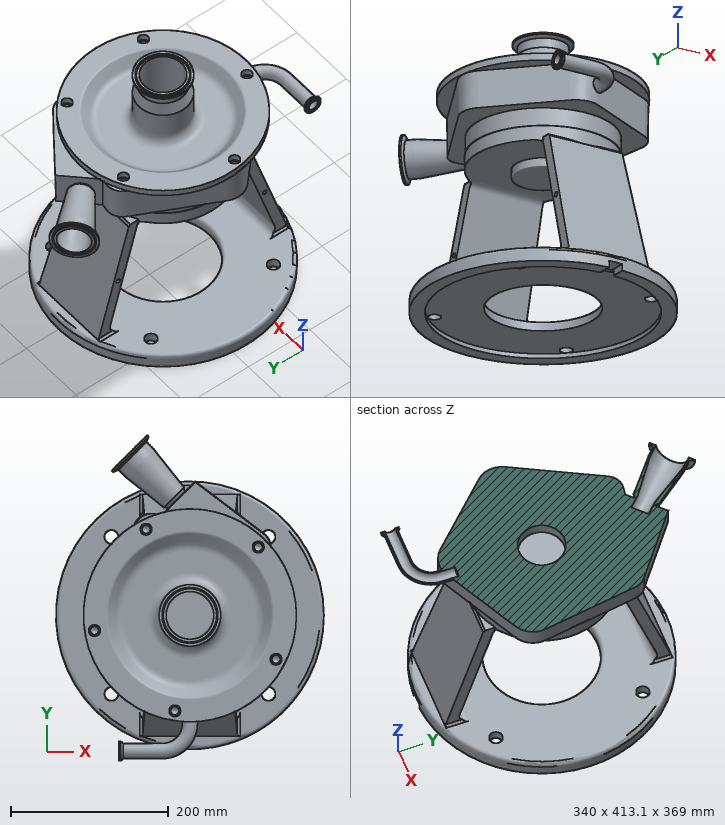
import cadquery as cq
import math

base_top = 20.0
shaft_bottom = 184.5
frame_bottom = 196.0
step_level = 215.5
volute_bottom = 240.0
cover_bottom = 290.5
cover_top = 300.0
pipe_top = 369.0

base_radius = 170.0
base_opening_radius = 75.0
base_rounding = 5.0
base_bolt_radius = 8.6
base_bolt_offset = 99.5
notch_width = 19.5
notch_height = 9.0
notch_depth = 25.0
base_recess_radius = 150.0
base_recess_depth = 6.2

leg_thickness = 15.0
leg_foot_y = 153.5
leg_head_y = 100.0
leg_foot_half_width = 60.0
leg_head_half_width = 55.0
leg_fillet = 10.7
leg_head_bevel = 2.7
weld_height = 2.5
weld_width = 3.5
head_weld_width = 9.0
leg_hole_diameter = 6.0
leg_hole_depth = 15.0
leg_hole_z = 107.5

frame_lower_radius = 99.7
frame_upper_radius = 99.0
shaft_radius = 40.2
shaft_rounding = 1.0

draft_angle = 1.0
corner_distance = 101.5
corner_radius = 33.0
corner_angles = (-171.0, -99.0, -27.0)
lug_distance = 116.5
lug_radius = 23.5
lug_angles = (47.0, 115.0)
outlet_block_tip = (6.7, 169.8)
outlet_face_length = 85.0

cover_radius = 135.0
recess_radius = 107.0
recess_floor = 284.0
recess_lip_rounding = 5.0
recess_floor_radius = 83.0
recess_fillet = 15.0
recess_wall_slope = 45.0
screw_circle_radius = 122.5
screw_count = 5
screw_start_angle = -171.0
screw_head_radius = 7.3
screw_radius = 5.3
screw_depth = 25.0
screw_tip_height = 3.0

pipe_radius = 39.0
ferrule_radius = 39.0
neck_radius = 32.9
neck_bottom = 351.0
shoulder_level = 335.0
pipe_bore_radius = 30.2
pipe_bore_bottom = 250.0

nozzle_angle = 135.0
nozzle_z = 265.0
nozzle_offset = 91.5
nozzle_end = 199.8
nozzle_cone_start = 181.0
nozzle_cone_end = 120.0
nozzle_block_face = 115.3
nozzle_root = 100.0
nozzle_root_radius = 14.5
nozzle_radius = 25.2
nozzle_small_radius = 18.2
nozzle_wall = 2.7
nozzle_ferrule_radius = 32.0

drain_z = 266.8
drain_radius = 9.7
drain_bore_radius = 7.2
drain_bend_radius = 35.0
drain_bend_start_y = -137.0
drain_root_y = -115.0
drain_end_x = -90.0
drain_ferrule_radius = 12.5

ferrule_rim = 2.6
ferrule_height = 5.2
groove_width = 1.6
groove_depth = 1.2


def polar(distance, degrees):
    angle = math.radians(degrees)
    return (distance * math.cos(angle), distance * math.sin(angle))


def outer_tangent(first, second):
    """Ends of the line touching two circles (x, y, r) on their right-hand side."""
    x1, y1, r1 = first
    x2, y2, r2 = second
    heading = math.degrees(math.atan2(y2 - y1, x2 - x1))
    turn = math.degrees(math.asin((r1 - r2) / math.hypot(x2 - x1, y2 - y1)))
    normal = polar(1.0, heading - 90.0 + turn)
    start = (x1 + r1 * normal[0], y1 + r1 * normal[1])
    end = (x2 + r2 * normal[0], y2 + r2 * normal[1])
    return start, end


def make_base():
    plate = cq.Workplane("XY").circle(base_radius).circle(base_opening_radius).extrude(base_top)
    plate = plate.faces(">Z").edges().fillet(base_rounding)
    offsets = [(sx * base_bolt_offset, sy * base_bolt_offset) for sx in (-1, 1) for sy in (-1, 1)]
    bolts = cq.Workplane("XY").pushPoints(offsets).circle(base_bolt_radius).extrude(base_top)
    notch = cq.Workplane("XY").box(notch_width, 2 * notch_depth, notch_height, centered=(True, True, False))
    recess = cq.Workplane("XY").circle(base_recess_radius).extrude(base_recess_depth)
    return plate.cut(bolts).cut(recess).cut(notch.translate((0, -base_radius, 0)))


def corner_fillet(corner, first, second):
    """Profile between a sharp corner and an arc touching the directions first and second (degrees)."""
    reach = leg_fillet / math.tan(math.radians(abs(second - first) / 2))
    bisector = (first + second) / 2
    depth = math.hypot(reach, leg_fillet) - leg_fillet

    def away(distance, degrees):
        dx, dy = polar(distance, degrees)
        return (corner[0] + dx, corner[1] + dy)

    outline = cq.Workplane("YZ").moveTo(*corner).lineTo(*away(reach, first))
    return outline.threePointArc(away(depth, bisector), away(reach, second)).close()


def make_leg():
    """Leg on the -Y side, leaning inwards towards its head."""
    lean = math.atan2(leg_foot_y - leg_head_y, frame_bottom - base_top)
    width = leg_thickness / math.cos(lean)
    head_top = frame_bottom + leg_head_bevel
    foot_inner = (-leg_foot_y + width, base_top)
    head_inner = (-leg_head_y + width, frame_bottom)
    profile = [
        (-leg_foot_y, base_top),
        foot_inner,
        head_inner,
        (head_inner[0], head_top),
        (-leg_head_y + leg_head_bevel, head_top),
        (-leg_head_y, frame_bottom),
    ]
    half = leg_head_half_width + head_weld_width
    upward = 90.0 - math.degrees(lean)
    leg = cq.Workplane("YZ").polyline(profile).close().extrude(half, both=True)
    leg = leg.union(corner_fillet(foot_inner, 0.0, upward).extrude(half, both=True))
    leg = leg.union(corner_fillet(head_inner, 0.0, upward - 180.0).extrude(half, both=True))

    right_side = [
        (leg_foot_half_width + weld_width, base_top),
        (leg_foot_half_width, base_top + weld_height),
        (leg_head_half_width, frame_bottom),
        (leg_head_half_width, head_top),
    ]
    left_side = [(-x, z) for x, z in reversed(right_side)]
    face = cq.Workplane("XZ").polyline(right_side + left_side).close().extrude(base_radius)

    head_weld = [
        (-half, frame_bottom),
        (half, frame_bottom),
        (leg_head_half_width, frame_bottom - weld_height),
        (-leg_head_half_width, frame_bottom - weld_height),
    ]
    under_frame = cq.Workplane("XY").circle(frame_lower_radius).extrude(frame_bottom)
    weld = cq.Workplane("XZ").polyline(head_weld).close().extrude(base_radius)
    leg = leg.intersect(face.union(weld.intersect(under_frame)))

    hole_y = -leg_head_y - (frame_bottom - leg_hole_z) * math.tan(lean) + width / 2
    hole = cq.Workplane("YZ", origin=(-leg_foot_half_width, hole_y, leg_hole_z))
    return leg.cut(hole.circle(leg_hole_diameter / 2).extrude(leg_hole_depth))


def make_frame():
    lower = cq.Workplane("XY").workplane(offset=frame_bottom).circle(frame_lower_radius)
    lower = lower.extrude(step_level - frame_bottom)
    upper = cq.Workplane("XY").workplane(offset=step_level).circle(frame_upper_radius)
    upper = upper.extrude(volute_bottom - step_level)
    shaft = cq.Workplane("XY").workplane(offset=shaft_bottom).circle(shaft_radius)
    shaft = shaft.extrude(frame_bottom - shaft_bottom).faces("<Z").edges().fillet(shaft_rounding)
    return lower.union(upper).union(shaft)


def make_volute():
    corners = [(*polar(corner_distance, angle), corner_radius) for angle in corner_angles]
    lugs = [(*polar(lug_distance, angle), lug_radius) for angle in lug_angles]
    circles = corners + lugs
    top = cq.Workplane("XY").workplane(offset=cover_bottom)
    height = cover_bottom - volute_bottom

    sides = [outer_tangent(circles[i - 1], circles[i]) for i in range(len(circles))]
    body = top.moveTo(*sides[0][0])
    for i, circle in enumerate(circles):
        arrival = sides[i][1]
        departure = sides[(i + 1) % len(sides)][0]
        middle = ((arrival[0] + departure[0]) / 2 - circle[0], (arrival[1] + departure[1]) / 2 - circle[1])
        reach = circle[2] / math.hypot(*middle)
        crest = (circle[0] + middle[0] * reach, circle[1] + middle[1] * reach)
        body = body.lineTo(*arrival).threePointArc(crest, departure)
    body = body.close().extrude(-height, taper=draft_angle)

    tangent_point = outer_tangent(lugs[0], (*outlet_block_tip, 0.0))[0]
    run = polar(outlet_face_length, nozzle_angle + 90.0)
    block = [
        outlet_block_tip,
        (outlet_block_tip[0] + run[0], outlet_block_tip[1] + run[1]),
        (0.0, 0.0),
        lugs[0][:2],
        tangent_point,
    ]
    return body.union(top.polyline(block).close().extrude(-height, taper=draft_angle))


def revolve_z(profile):
    """Solid turned about Z from a closed (radius, z) profile on the XZ plane."""
    return profile.close().revolve(360, (0, 0, 0), (0, 1, 0))


def turned(points):
    return revolve_z(cq.Workplane("XZ").polyline(points))


def make_cover():
    plate = cq.Workplane("XY").workplane(offset=cover_bottom).circle(cover_radius)
    return plate.extrude(cover_top - cover_bottom)


def make_recess():
    """Space of the dished recess around the suction pipe, with a sloping outer wall."""
    lip_center = (recess_radius, cover_top - recess_lip_rounding)
    floor_center = (recess_floor_radius, recess_floor + recess_fillet)
    foot_center = (pipe_radius + recess_fillet, recess_floor + recess_fillet)

    def on_arc(center, radius, degrees):
        dx, dz = polar(radius, degrees)
        return (center[0] + dx, center[1] + dz)

    profile = (
        cq.Workplane("XZ")
        .moveTo(pipe_radius, cover_top)
        .lineTo(recess_radius, cover_top)
        .threePointArc(
            on_arc(lip_center, recess_lip_rounding, 90.0 + recess_wall_slope / 2),
            on_arc(lip_center, recess_lip_rounding, 90.0 + recess_wall_slope),
        )
        .lineTo(*on_arc(floor_center, recess_fillet, recess_wall_slope - 90.0))
        .threePointArc(
            on_arc(floor_center, recess_fillet, recess_wall_slope / 2 - 90.0),
            on_arc(floor_center, recess_fillet, -90.0),
        )
        .lineTo(foot_center[0], recess_floor)
        .threePointArc(
            on_arc(foot_center, recess_fillet, -135.0),
            on_arc(foot_center, recess_fillet, 180.0),
        )
    )
    return revolve_z(profile)


def make_screw_holes():
    head = cq.Workplane("XY").workplane(offset=cover_bottom).circle(screw_head_radius)
    head = head.extrude(cover_top - cover_bottom)
    bottom = cover_top - screw_depth
    drill = turned([
        (0, bottom - screw_tip_height),
        (screw_radius, bottom),
        (screw_radius, cover_top),
        (0, cover_top),
    ])
    hole = head.union(drill).translate((screw_circle_radius, 0, 0))
    holes = cq.Workplane("XY")
    for i in range(screw_count):
        angle = screw_start_angle + i * 360.0 / screw_count
        holes = holes.add(hole.rotate((0, 0, 0), (0, 0, 1), angle))
    return holes


def make_ferrule(tube_radius, bore_radius, rim_radius):
    """Clamp flange whose mating face lies on Z = 0 and whose tube leaves towards -Z."""
    bevel_radius = (tube_radius + rim_radius) / 2
    ferrule = turned([
        (0, -ferrule_height),
        (tube_radius, -ferrule_height),
        (bevel_radius, -(ferrule_rim + ferrule_height) / 2),
        (rim_radius, -ferrule_rim),
        (rim_radius, 0),
        (0, 0),
    ])
    groove_middle = (bore_radius + rim_radius) / 2
    groove = cq.Workplane("XY").circle(groove_middle + groove_width / 2)
    groove = groove.circle(groove_middle - groove_width / 2).extrude(-groove_depth)
    return ferrule.cut(groove)


def make_suction_pipe():
    pipe = turned([
        (0, recess_floor),
        (pipe_radius, recess_floor),
        (pipe_radius, shoulder_level),
        (neck_radius, neck_bottom),
        (neck_radius, pipe_top - ferrule_height),
        (0, pipe_top - ferrule_height),
    ])
    ferrule = make_ferrule(neck_radius, pipe_bore_radius, ferrule_radius)
    return pipe.union(ferrule.translate((0, 0, pipe_top)))


def make_suction_bore():
    bore = cq.Workplane("XY").workplane(offset=pipe_bore_bottom).circle(pipe_bore_radius)
    return bore.extrude(pipe_top - pipe_bore_bottom)


def place_nozzle(part):
    """Turn a part built along Z, measured from the pump axis, onto the discharge axis."""
    part = part.rotate((0, 0, 0), (0, 1, 0), 90).translate((0, -nozzle_offset, nozzle_z))
    return part.rotate((0, 0, 0), (0, 0, 1), nozzle_angle)


def make_nozzle():
    ferrule_start = nozzle_end - ferrule_height
    tube = turned([
        (0, nozzle_root),
        (nozzle_root_radius, nozzle_root),
        (nozzle_root_radius, nozzle_block_face),
        (nozzle_small_radius, nozzle_cone_end),
        (nozzle_radius, nozzle_cone_start),
        (nozzle_radius, ferrule_start),
        (0, ferrule_start),
    ])
    ferrule = make_ferrule(nozzle_radius, nozzle_radius - nozzle_wall, nozzle_ferrule_radius)
    return place_nozzle(tube.union(ferrule.translate((0, 0, nozzle_end))))


def make_nozzle_bore():
    wide = nozzle_radius - nozzle_wall
    narrow = nozzle_root_radius - nozzle_wall
    return place_nozzle(turned([
        (0, nozzle_root),
        (narrow, nozzle_root),
        (narrow, nozzle_cone_end),
        (wide, nozzle_cone_start),
        (wide, nozzle_end),
        (0, nozzle_end),
    ]))


def sweep_drain(radius):
    """Round bar of the given radius along the drain pipe's centre line."""
    bend = drain_bend_radius
    middle = polar(bend, -45.0)
    path = (
        cq.Workplane("XY", origin=(0, 0, drain_z))
        .moveTo(0, drain_root_y)
        .lineTo(0, drain_bend_start_y)
        .threePointArc(
            (middle[0] - bend, drain_bend_start_y + middle[1]),
            (-bend, drain_bend_start_y - bend),
        )
        .lineTo(drain_end_x, drain_bend_start_y - bend)
    )
    section = cq.Workplane("XZ", origin=(0, drain_root_y, drain_z)).circle(radius)
    return section.sweep(path)


def make_drain():
    ferrule = make_ferrule(drain_radius, drain_bore_radius, drain_ferrule_radius)
    ferrule = ferrule.rotate((0, 0, 0), (0, 1, 0), -90)
    ferrule = ferrule.translate((drain_end_x, drain_bend_start_y - drain_bend_radius, drain_z))
    return sweep_drain(drain_radius).union(ferrule)


leg = make_leg()
body = make_base().union(leg).union(leg.mirror("XZ")).union(make_frame())
body = body.union(make_volute()).union(make_cover())
body = body.cut(make_recess()).cut(make_screw_holes())
body = body.union(make_suction_pipe()).union(make_nozzle()).union(make_drain())
body = body.cut(make_suction_bore()).cut(make_nozzle_bore()).cut(sweep_drain(drain_bore_radius))
result = body.solids()